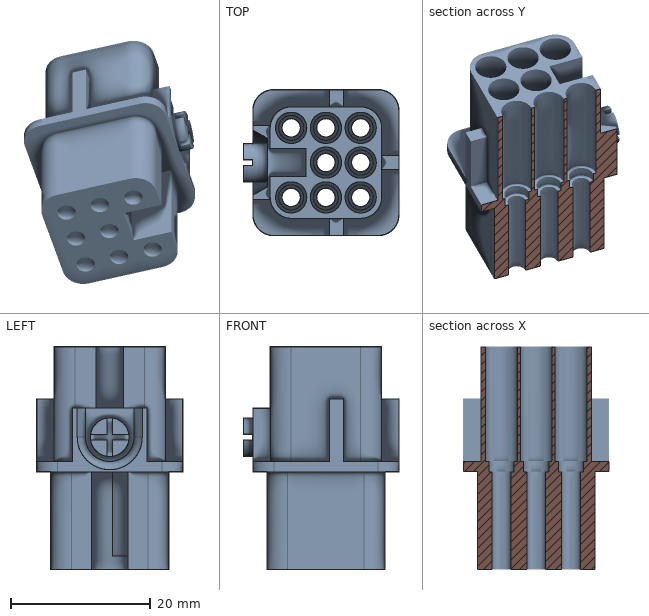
import cadquery as cq

flange_side = 21.0
lower_side = 17.0
upper_side = 16.0
corner_radius = 3.0
total_height = 32.0
flange_bottom = 14.0
flange_thickness = 1.5
flange_top = flange_bottom + flange_thickness

rib_width = 2.0
rib_top = 24.5
side_rib_x = 1.5

contact_pitch = 5.0
socket_diameter = 4.48
step_diameter = 3.6
through_diameter = 2.62
socket_floor = flange_top
step_floor = flange_bottom

housing_width = 10.65
housing_top = 23.17
screw_z = 19.0
recess_depth = 2.08
recess_outer_radius = 4.67
recess_inner_radius = 3.5

screw_diameter = 5.57
screw_protrusion = 1.35
cross_slot_width = 0.8
cross_slot_depth = 1.28

upper_channel_width = 4.0
lower_channel_width = 5.2
channel_end_x = -2.85

pocket_edge_y = -0.4
pocket_floor_z = 1.95
pocket_depth = 0.32

outer_x = -flange_side / 2
recess_floor_x = outer_x + recess_depth


def box(x_min, x_max, y_min, y_max, z_min, z_max):
    size = (x_max - x_min, y_max - y_min, z_max - z_min)
    return cq.Workplane("XY").box(*size, centered=False).translate((x_min, y_min, z_min))


def rounded_block(side, z_min, z_max):
    block = cq.Workplane("XY").workplane(offset=z_min).rect(side, side).extrude(z_max - z_min)
    return block.edges("|Z").fillet(corner_radius)


def make_body():
    lower = rounded_block(lower_side, 0, flange_bottom)
    flange = rounded_block(flange_side, flange_bottom, flange_top)
    upper = rounded_block(upper_side, flange_top, total_height)
    return lower.union(flange).union(upper)


def make_ribs():
    half = rib_width / 2
    edge = flange_side / 2
    side_ribs = box(side_rib_x - half, side_rib_x + half, -edge, edge, flange_bottom, rib_top)
    end_rib = box(0, edge, -half, half, flange_bottom, rib_top)
    return side_ribs.union(end_rib)


def make_housing():
    half = housing_width / 2
    return box(outer_x, channel_end_x, -half, half, flange_bottom, housing_top)


def make_channels():
    upper_half = upper_channel_width / 2
    lower_half = lower_channel_width / 2
    upper = box(outer_x, channel_end_x, -upper_half, upper_half, housing_top, total_height)
    lower = box(outer_x, channel_end_x, -lower_half, lower_half, 0, flange_bottom)
    pocket = box(
        channel_end_x, channel_end_x + pocket_depth,
        -lower_half, pocket_edge_y,
        pocket_floor_z, flange_bottom,
    )
    return upper.union(lower).union(pocket)


def make_screw_recess():
    """Tapered U-shaped recess: a half cone below and a flared slot open at the top."""
    cone = cq.Workplane(
        cq.Solid.makeCone(
            recess_outer_radius, recess_inner_radius, recess_depth,
            cq.Vector(outer_x, 0, screw_z), cq.Vector(1, 0, 0),
        )
    )
    flare = (
        cq.Workplane("XY")
        .workplane(offset=screw_z)
        .polyline([
            (outer_x, -recess_outer_radius),
            (recess_floor_x, -recess_inner_radius),
            (recess_floor_x, recess_inner_radius),
            (outer_x, recess_outer_radius),
        ])
        .close()
        .extrude(housing_top - screw_z)
    )
    below_top = box(outer_x, 0, -flange_side, flange_side, 0, housing_top)
    return cone.intersect(below_top).union(flare)


def make_screw():
    head_x = outer_x - screw_protrusion
    screw = (
        cq.Workplane("YZ", origin=(head_x, 0, screw_z))
        .circle(screw_diameter / 2)
        .extrude(recess_floor_x - head_x)
    )
    for width, height in (
        (screw_diameter, cross_slot_width),
        (cross_slot_width, screw_diameter),
    ):
        slot = (
            cq.Workplane("YZ", origin=(head_x, 0, screw_z))
            .rect(width, height)
            .extrude(cross_slot_depth)
        )
        screw = screw.cut(slot)
    return screw


def make_contact_bores():
    places = [
        (column * contact_pitch, row * contact_pitch)
        for column in (-1, 0, 1)
        for row in (-1, 0, 1)
        if (column, row) != (-1, 0)
    ]
    bores = cq.Workplane("XY")
    for diameter, floor in (
        (socket_diameter, socket_floor),
        (step_diameter, step_floor),
        (through_diameter, 0),
    ):
        bores = bores.union(
            cq.Workplane("XY")
            .workplane(offset=floor)
            .pushPoints(places)
            .circle(diameter / 2)
            .extrude(total_height - floor)
        )
    return bores


result = (
    make_body()
    .union(make_ribs())
    .union(make_housing())
    .cut(make_channels())
    .cut(make_screw_recess())
    .union(make_screw())
    .cut(make_contact_bores())
)